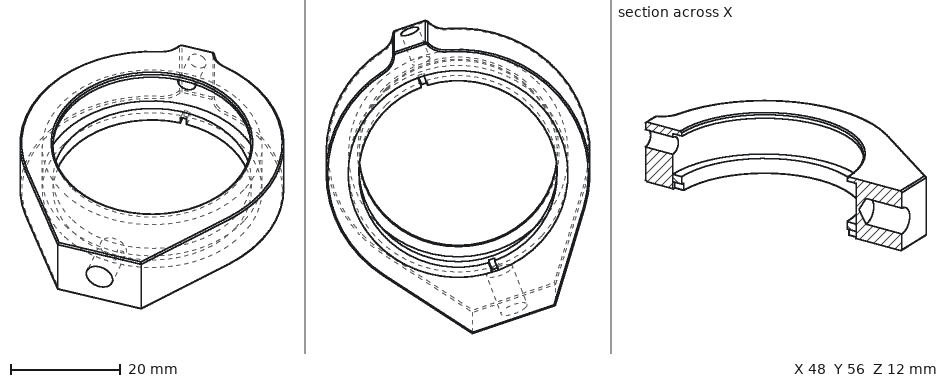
import cadquery as cq
import math

overall_length = 56.0
housing_width = 48.0
housing_radius = housing_width / 2
housing_height = 12.0
foot_reach = 30.0
foot_half_width = 8.0
lug_reach = overall_length - foot_reach
lug_blend_radius = 4.0
lug_blend_center_x = 7.1
edge_chamfer = 0.3

seat_radius = 20.0
lip_radius = 18.05
lip_thickness = 1.0

mount_hole_radius = 2.5
mount_hole_depth = 7.85
drill_tip_half_angle = 59.0

screw_hole_radius = 1.7
screw_hole_height = 8.6

retainer_thickness = 2.95
spanner_slot_width = 1.2
spanner_slot_depth = 1.4


def housing_outline():
    """Closed outline of the housing, symmetric about the Y axis."""
    corner_distance = math.hypot(foot_half_width, foot_reach)
    tangent_angle = math.acos(housing_radius / corner_distance) - math.atan2(foot_reach, foot_half_width)
    side_x = housing_radius * math.cos(tangent_angle)
    side_y = housing_radius * math.sin(tangent_angle)

    center_distance = housing_radius + lug_blend_radius
    center_y = math.sqrt(center_distance**2 - lug_blend_center_x**2)
    blend_x = lug_blend_center_x * housing_radius / center_distance
    blend_y = center_y * housing_radius / center_distance
    lug_half_width = lug_blend_center_x - math.sqrt(lug_blend_radius**2 - (center_y - lug_reach)**2)

    chord_x = (blend_x + lug_half_width) / 2 - lug_blend_center_x
    chord_y = (blend_y + lug_reach) / 2 - center_y
    arc_scale = lug_blend_radius / math.hypot(chord_x, chord_y)
    arc_x = lug_blend_center_x + chord_x * arc_scale
    arc_y = center_y + chord_y * arc_scale

    return (
        cq.Workplane("XY")
        .moveTo(-foot_half_width, -foot_reach)
        .lineTo(foot_half_width, -foot_reach)
        .lineTo(side_x, side_y)
        .threePointArc((housing_radius, 0), (blend_x, blend_y))
        .threePointArc((arc_x, arc_y), (lug_half_width, lug_reach))
        .lineTo(-lug_half_width, lug_reach)
        .threePointArc((-arc_x, arc_y), (-blend_x, blend_y))
        .threePointArc((-housing_radius, 0), (-side_x, side_y))
        .close()
    )


def make_mount_hole():
    """Drilled hole with a conical tip, entering from the foot flat along +Y."""
    tip_length = mount_hole_radius / math.tan(math.radians(drill_tip_half_angle))
    bottom_y = -foot_reach + mount_hole_depth
    return (
        cq.Workplane("XY")
        .moveTo(0, -foot_reach)
        .lineTo(mount_hole_radius, -foot_reach)
        .lineTo(mount_hole_radius, bottom_y)
        .lineTo(0, bottom_y + tip_length)
        .close()
        .revolve(360, (0, 0, 0), (0, 1, 0))
        .translate((0, 0, housing_height / 2))
    )


def make_screw_hole():
    """Cylinder from the housing axis out through the end of the lug."""
    return (
        cq.Workplane("XZ")
        .center(0, screw_hole_height)
        .circle(screw_hole_radius)
        .extrude(-lug_reach)
    )


def make_bore():
    """Seat, lip and lip chamfer as one revolved shape."""
    return (
        cq.Workplane("XZ")
        .moveTo(0, 0)
        .lineTo(seat_radius, 0)
        .lineTo(seat_radius, housing_height - lip_thickness)
        .lineTo(lip_radius, housing_height - lip_thickness)
        .lineTo(lip_radius, housing_height - edge_chamfer)
        .lineTo(lip_radius + edge_chamfer, housing_height)
        .lineTo(0, housing_height)
        .close()
        .revolve(360, (0, 0, 0), (0, 1, 0))
    )


def make_housing():
    body = housing_outline().extrude(housing_height)
    body = body.faces(">Y").edges("|Z").chamfer(edge_chamfer)
    body = body.faces("<Z or >Z").edges().chamfer(edge_chamfer)

    body = body.cut(make_bore())
    return body.cut(make_mount_hole()).cut(make_screw_hole())


def make_retaining_ring():
    """Plain ring with a spanner slot across its underside along Y."""
    ring = cq.Workplane("XY").circle(seat_radius).circle(lip_radius).extrude(retainer_thickness)
    slot = cq.Workplane("XY").rect(spanner_slot_width, 2 * seat_radius).extrude(spanner_slot_depth)
    return ring.cut(slot)


housing = make_housing()
retaining_ring = make_retaining_ring()

result = cq.Compound.makeCompound([housing.val(), retaining_ring.val()])